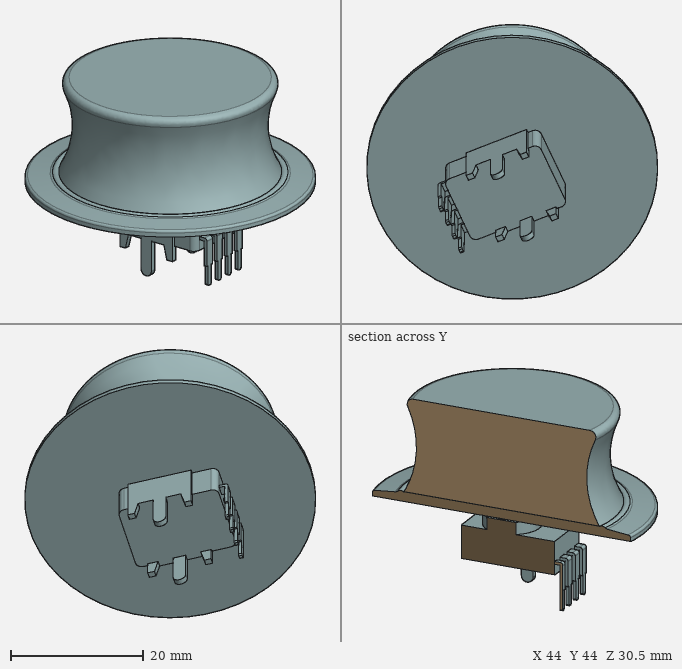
import cadquery as cq
import math


bezel_radius = 22.0
bezel_rim_height = 1.05
bezel_rim_fillet = 0.4
cone_top_radius = 18.15
cone_top_z = 1.4
lip_outer_radius = 17.8
lip_outer_z = 1.55
lip_top_radius = 17.42
lip_top_z = 1.75
recess_floor_z = 1.6

knob_top_z = 17.0
knob_bottom_z = recess_floor_z
waist_radius = 14.85
waist_z = 9.2
waist_curve_radius = 15.22
knob_top_fillet = 1.0

housing_left_x = -6.75
housing_right_x = 8.95
housing_width = 11.05
housing_top_z = -2.1
housing_height = 5.5
housing_corner_radius = 1.0
housing_bottom_z = housing_top_z - housing_height
collar_diameter = 9.0
collar_gap = 0.15
neck_diameter = 7.0

plate_length = 9.95
plate_outer_y = 6.05
plate_thickness = plate_outer_y - housing_width / 2
leg_thickness = 0.9
leg_width = 2.0
leg_bottom_z = -13.5
tab_bottom_z = -9.95
tab_root_width = 1.65
tab_tip_width = 1.05

pin_count = 4
pin_pitch = 2.5
pin_thickness = 0.55
pin_outer_x = 10.3
pin_top_z = -5.35
pin_bend_radius = 0.45
pin_wide = 1.4
pin_narrow = 0.9
pin_step_z = tab_bottom_z
pin_bottom_z = -13.2
pin_tip_chamfer = 0.2


def knob_radius(z):
    """Radius of the waisted knob side at height z."""
    return waist_radius + waist_curve_radius - math.sqrt(waist_curve_radius**2 - (z - waist_z)**2)


def make_knob():
    """Solid of revolution with a concave side and a rounded top edge."""
    knob = (
        cq.Workplane("XZ")
        .moveTo(0, knob_bottom_z)
        .lineTo(knob_radius(knob_bottom_z), knob_bottom_z)
        .threePointArc((waist_radius, waist_z), (knob_radius(knob_top_z), knob_top_z))
        .lineTo(0, knob_top_z)
        .close()
        .revolve(360, (0, 0), (0, 1))
    )
    return knob.faces(">Z").edges().fillet(knob_top_fillet)


def make_bezel():
    """Shallow conical disc with a rounded lip around the knob recess and a bore for the neck."""
    recess_radius = knob_radius(knob_bottom_z)
    rim_shoulder = bezel_rim_height - bezel_rim_fillet
    rim_arc_offset = bezel_rim_fillet * (1 - math.sqrt(0.5))
    return (
        cq.Workplane("XZ")
        .moveTo(neck_diameter / 2, 0)
        .lineTo(bezel_radius, 0)
        .lineTo(bezel_radius, rim_shoulder)
        .threePointArc(
            (bezel_radius - rim_arc_offset, bezel_rim_height - rim_arc_offset),
            (bezel_radius - bezel_rim_fillet, bezel_rim_height),
        )
        .lineTo(cone_top_radius, cone_top_z)
        .lineTo(lip_outer_radius, lip_outer_z)
        .threePointArc((lip_top_radius, lip_top_z), (recess_radius, recess_floor_z))
        .lineTo(neck_diameter / 2, recess_floor_z)
        .close()
        .revolve(360, (0, 0), (0, 1))
    )


def make_mounting_plate():
    """Plate on the -Y side with a round-ended leg and two tapered tabs pointing down."""
    half_length = plate_length / 2
    plate = (
        cq.Workplane("XY", origin=(0, -plate_outer_y + plate_thickness / 2, housing_bottom_z))
        .box(plate_length, plate_thickness, housing_height, centered=(True, True, False))
    )
    outer_face = cq.Workplane("XZ", origin=(0, -plate_outer_y, 0))
    leg_radius = leg_width / 2
    leg = (
        outer_face.moveTo(-leg_radius, housing_top_z)
        .lineTo(-leg_radius, leg_bottom_z + leg_radius)
        .threePointArc((0, leg_bottom_z), (leg_radius, leg_bottom_z + leg_radius))
        .lineTo(leg_radius, housing_top_z)
        .close()
        .extrude(-leg_thickness)
    )
    tab = (
        outer_face.moveTo(-half_length, housing_bottom_z)
        .lineTo(-half_length, tab_bottom_z)
        .lineTo(-half_length + tab_tip_width, tab_bottom_z)
        .lineTo(-half_length + tab_root_width, housing_bottom_z)
        .close()
        .extrude(-leg_thickness)
    )
    return plate.union(leg).union(tab).union(tab.mirror("YZ"))


def make_housing():
    """Encoder block with its collar, its neck up to the knob and both mounting plates."""
    block = (
        cq.Workplane("XY", origin=((housing_left_x + housing_right_x) / 2, 0, housing_bottom_z))
        .box(housing_right_x - housing_left_x, housing_width, housing_height, centered=(True, True, False))
        .edges("|Z")
        .fillet(housing_corner_radius)
    )
    top = cq.Workplane("XY", origin=(0, 0, housing_top_z))
    collar = top.circle(collar_diameter / 2).extrude(-collar_gap - housing_top_z)
    neck = top.circle(neck_diameter / 2).extrude(knob_bottom_z - housing_top_z)
    plate = make_mounting_plate()
    return block.union(collar).union(neck).union(plate).union(plate.mirror("XZ"))


def make_pin(y):
    """Bent terminal pin on the +X side, wide at the root and narrow with a chamfered tip below."""
    pin_inner_x = pin_outer_x - pin_thickness
    pin = (
        cq.Workplane("XZ", origin=(0, y, 0))
        .moveTo(housing_right_x, pin_top_z)
        .lineTo(pin_outer_x, pin_top_z)
        .lineTo(pin_outer_x, pin_step_z)
        .lineTo(pin_inner_x, pin_step_z)
        .lineTo(pin_inner_x, pin_top_z - pin_thickness)
        .lineTo(housing_right_x, pin_top_z - pin_thickness)
        .close()
        .extrude(pin_wide / 2, both=True)
        .edges("|Y and >X and >Z")
        .fillet(pin_bend_radius)
    )
    tip = (
        cq.Workplane("XY", origin=(pin_outer_x - pin_thickness / 2, y, pin_bottom_z))
        .box(pin_thickness, pin_narrow, pin_step_z - pin_bottom_z, centered=(True, True, False))
        .edges("|X and <Z")
        .chamfer(pin_tip_chamfer)
    )
    return pin.union(tip)


knob = make_knob()
bezel = make_bezel()
housing = make_housing()
pins = [make_pin((i - (pin_count - 1) / 2) * pin_pitch) for i in range(pin_count)]

result = cq.Compound.makeCompound(
    [knob.val(), bezel.val(), housing.val(), *[pin.val() for pin in pins]]
)